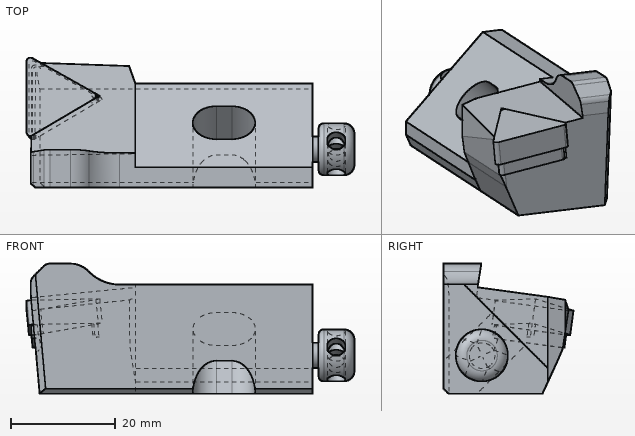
import cadquery as cq
import math

SHANK_END = 54.95
SHANK_HEIGHT = 21.0
SHANK_DEPTH = 20.05
PLATE_THICKNESS = 4.0
UNDERSIDE_DEPTH = 19.0
BACK_FLAT_START = 2.25
EDGE_CHAMFER = 1.0

HEAD_END = 20.9
HEAD_BACK_END = 19.7
HEAD_BACK_NEAR = 24.05
HEAD_BACK_FAR = 23.4
HEAD_TOP = 25.0
HEAD_SIDE = [(UNDERSIDE_DEPTH, 0), (21.9, 6.3), (22.9, 8.5), (24.25, 17.65)]
NOSE_FOOT = 2.5
NOSE_TOP = 0.8
NOSE_BEND_HEIGHT = 19.0
NOSE_CHAMFER_LENGTH = 1.25
NOSE_BACK_POINT = (1.45, 23.45, 12.0)
NOSE_BACK_FILLET = 0.75
HUMP_CORNER_HEIGHT = 22.0
HUMP_CORNER_FILLET = 1.65
CREST_END = 8.4
CREST_RADIUS = 5.0
VALLEY_RADIUS = 8.2

SEAT_HEIGHT = 16.9
SEAT_Y = 17.45
SEAT_RISE_X = 0.1
SEAT_FALL_Y = 0.136
WALL_FOOT_Y = 6.25
WALL_FOOT_Z = 18.35
WALL_LEAN = 0.16

INSERT_LENGTH = 14.1
INSERT_CORNER_RADIUS = 0.75
INSERT_THICKNESS = 4.7
SHIM_INSET = 0.45
SHIM_THICKNESS = 2.6

SLOT_X = 37.9
SLOT_WIDTH = 8.95
SLOT_CENTRE_DISTANCE = 3.0

SCREW_OFFSET = 7.4
NECK_DIAMETER = 4.9
HEAD_DIAMETER = 10.0
SCREW_HEAD_START = 56.1
SCREW_END = 63.0
INNER_RIM_FILLET = 1.0
OUTER_RIM_FILLET = 2.1
BAR_HOLE_DIAMETER = 3.5
BAR_HOLE_X = 59.5
BAR_HOLE_ANGLE = 20.0

MARGIN = 37.8

seat_normal = cq.Vector(-SEAT_RISE_X, SEAT_FALL_Y, 1)
seat_x_direction = cq.Vector(0, 1, -SEAT_FALL_Y).cross(seat_normal)
seat = cq.Plane((0, SEAT_Y, SEAT_HEIGHT), seat_x_direction, seat_normal)


def triangle(inset, depth):
    """Sharp equilateral prism, sunk from the seat plane."""
    half_side = INSERT_LENGTH * math.tan(math.radians(30)) - inset * math.sqrt(3)
    tip = INSERT_LENGTH - 2 * inset
    points = [(inset, -half_side), (tip, 0), (inset, half_side)]
    return cq.Workplane(seat).polyline(points).close().extrude(-depth)


def rounded_triangle(inset, depth):
    corner_edges = cq.ParallelDirSelector(seat.zDir)
    return triangle(inset, depth).edges(corner_edges).fillet(INSERT_CORNER_RADIUS)


def make_insert():
    return rounded_triangle(0, INSERT_THICKNESS)


def make_shim():
    stack = rounded_triangle(SHIM_INSET, INSERT_THICKNESS + SHIM_THICKNESS)
    return stack.cut(triangle(0, INSERT_THICKNESS))


def make_side_profile():
    """Side outline of the hump, nose and shank, extruded past the back."""
    drop = HEAD_TOP - SHANK_HEIGHT
    bend = math.acos(1 - drop / (CREST_RADIUS + VALLEY_RADIUS))
    turn_x = CREST_END + CREST_RADIUS * math.sin(bend)
    turn_z = HEAD_TOP - CREST_RADIUS * (1 - math.cos(bend))
    valley_end = turn_x + VALLEY_RADIUS * math.sin(bend)
    crest_start = NOSE_TOP + HEAD_TOP - HUMP_CORNER_HEIGHT
    profile = (
        cq.Workplane("XZ")
        .moveTo(NOSE_FOOT, 0)
        .lineTo(NOSE_TOP, NOSE_BEND_HEIGHT)
        .lineTo(NOSE_TOP, HUMP_CORNER_HEIGHT)
        .lineTo(crest_start, HEAD_TOP)
        .lineTo(CREST_END, HEAD_TOP)
        .radiusArc((turn_x, turn_z), CREST_RADIUS)
        .radiusArc((valley_end, SHANK_HEIGHT), -VALLEY_RADIUS)
        .lineTo(SHANK_END, SHANK_HEIGHT)
        .lineTo(SHANK_END, 0)
        .close()
        .extrude(-MARGIN)
    )
    for x, z in [(NOSE_TOP, HUMP_CORNER_HEIGHT), (crest_start, HEAD_TOP)]:
        corner = cq.NearestToPointSelector((x, MARGIN / 2, z))
        profile = profile.edges(corner).fillet(HUMP_CORNER_FILLET)
    return profile


def make_shank():
    slope_foot = SHANK_HEIGHT + PLATE_THICKNESS - SHANK_DEPTH
    section = [
        (0, 0),
        (UNDERSIDE_DEPTH, 0),
        (SHANK_DEPTH, BACK_FLAT_START),
        (SHANK_DEPTH, slope_foot),
        (PLATE_THICKNESS, SHANK_HEIGHT),
        (0, SHANK_HEIGHT),
    ]
    length = SHANK_END - HEAD_END
    return cq.Workplane("YZ", origin=(HEAD_END, 0, 0)).polyline(section).close().extrude(length)


def make_head():
    """Block below the seat plane joined to the leaning hump wall."""
    plan = [
        (0, 0),
        (0, HEAD_BACK_NEAR),
        (HEAD_BACK_END, HEAD_BACK_FAR),
        (HEAD_END, SHANK_DEPTH),
        (HEAD_END, 0),
    ]
    section = [(0, 0), *HEAD_SIDE, (HEAD_SIDE[-1][0], HEAD_TOP), (0, HEAD_TOP)]
    wall_top_y = WALL_FOOT_Y + WALL_LEAN * (HEAD_TOP - WALL_FOOT_Z)
    wall_base_y = WALL_FOOT_Y - WALL_LEAN * WALL_FOOT_Z
    wall_section = [(0, 0), (wall_base_y, 0), (wall_top_y, HEAD_TOP), (0, HEAD_TOP)]
    block = cq.Workplane("YZ").polyline(section).close().extrude(HEAD_END)
    block = block.intersect(cq.Workplane("XY").polyline(plan).close().extrude(HEAD_TOP))
    block = block.cut(cq.Workplane(seat).rect(2 * MARGIN, 2 * MARGIN).extrude(MARGIN))
    wall = cq.Workplane("YZ").polyline(wall_section).close().extrude(HEAD_END)
    head = block.union(wall).intersect(make_side_profile())
    upper_back_edge = cq.NearestToPointSelector(NOSE_BACK_POINT)
    return head.edges(upper_back_edge).fillet(NOSE_BACK_FILLET)


def make_edge_chamfers():
    """Long bevel below the front face and a bevel along the leaning nose."""
    bevel = [(0, 0), (EDGE_CHAMFER, 0), (0, EDGE_CHAMFER)]
    bottom = cq.Workplane("YZ").polyline(bevel).close().extrude(SHANK_END)
    lean = (NOSE_FOOT - NOSE_TOP) / NOSE_BEND_HEIGHT
    rise = cq.Vector(-lean * HEAD_TOP, 0, HEAD_TOP)
    corners = [
        (NOSE_FOOT, 0),
        (NOSE_FOOT + NOSE_CHAMFER_LENGTH, 0),
        (NOSE_FOOT, EDGE_CHAMFER),
    ]
    foot = cq.Workplane("XY").polyline(corners).close().val()
    nose = cq.Solid.extrudeLinear(foot, [], rise)
    return bottom.union(cq.Workplane(nose))


def make_slot():
    """Slot whose axis passes through the lower front edge at 45 degrees."""
    plane = cq.Plane((SLOT_X, 0, 0), (1, 0, 0), (0, 1, 1))
    length = SLOT_CENTRE_DISTANCE + SLOT_WIDTH
    return cq.Workplane(plane).slot2D(length, SLOT_WIDTH).extrude(MARGIN, both=True)


def make_screw():
    axis_plane = cq.Workplane("YZ", origin=(SHANK_END, SCREW_OFFSET, SCREW_OFFSET))
    neck = axis_plane.circle(NECK_DIAMETER / 2).extrude(SCREW_HEAD_START - SHANK_END)
    head = (
        axis_plane.workplane(offset=SCREW_HEAD_START - SHANK_END)
        .circle(HEAD_DIAMETER / 2)
        .extrude(SCREW_END - SCREW_HEAD_START)
    )
    head = head.faces("<X").edges().fillet(INNER_RIM_FILLET)
    head = head.faces(">X").edges().fillet(OUTER_RIM_FILLET)
    for angle in (BAR_HOLE_ANGLE, BAR_HOLE_ANGLE + 90):
        turn = math.radians(angle)
        direction = (0, -math.cos(turn), math.sin(turn))
        plane = cq.Plane((BAR_HOLE_X, SCREW_OFFSET, SCREW_OFFSET), (1, 0, 0), direction)
        bar_hole = cq.Workplane(plane).circle(BAR_HOLE_DIAMETER / 2).extrude(HEAD_DIAMETER, both=True)
        head = head.cut(bar_hole)
    return neck.union(head)


def make_holder():
    """Holder with its shim and adjusting screw, as one solid."""
    body = make_head().union(make_shank())
    body = body.cut(make_edge_chamfers()).cut(make_slot())
    body = body.cut(triangle(0, INSERT_THICKNESS))
    body = body.cut(triangle(SHIM_INSET, INSERT_THICKNESS + SHIM_THICKNESS))
    return body.union(make_shim()).union(make_screw())


holder = make_holder()
insert = make_insert()

result = cq.Compound.makeCompound([*holder.vals(), insert.val()])